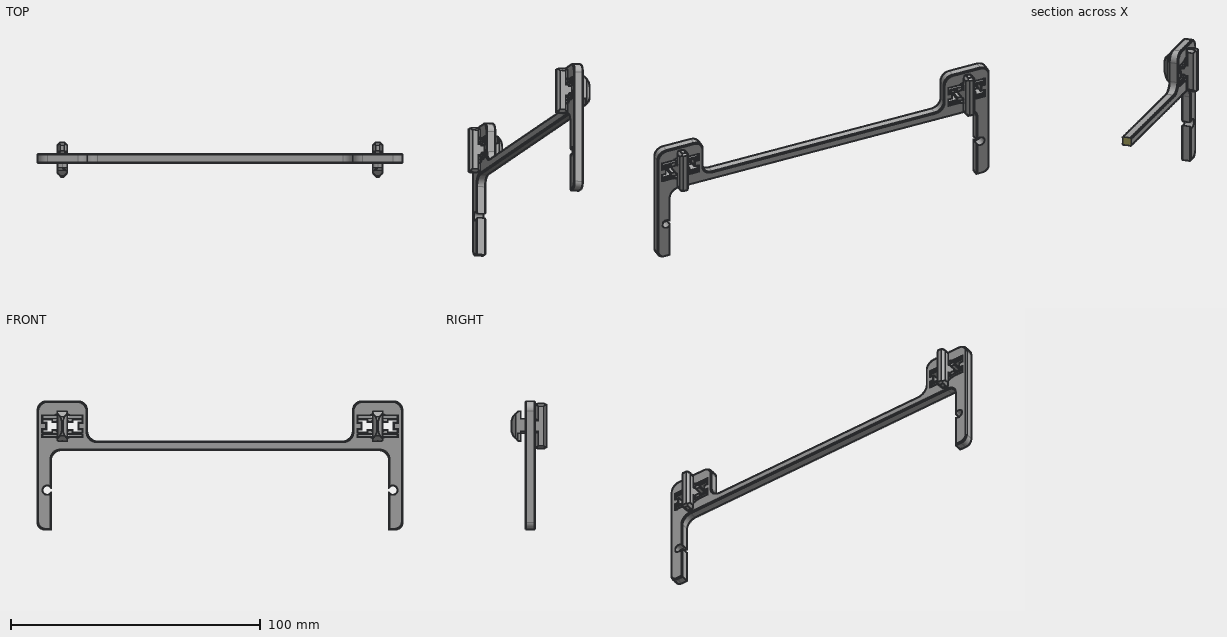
import cadquery as cq


LENGTH = 146.4
HEIGHT = 51.5
PLATE = 4.0
TAB = 20.0
LEG = 5.5
RAIL_TOP = 35.5
RAIL_BOTTOM = 31.8
TAB_RADIUS = 4.0
INNER_RADIUS = 4.0
FOOT_RADIUS = 3.0
EDGE_CHAMFER = 0.5

NOTCH_DIAMETER = 3.7
NOTCH_INSET = 4.0
NOTCH_Z = 15.8

CLIP_X = LENGTH / 2 - TAB / 2
CLIP_Z = HEIGHT - TAB / 2
CUTOUT_LENGTH = 15.8
WINDOW_HEIGHT = 5.0
BEAM = 0.7
SLOT = 0.9
RELIEF_RADIUS = 5.0
CUTOUT_CHAMFER = 0.3
TONGUE_HEIGHT = 3.0
TONGUE_LENGTH = 1.6
PAD_REACH = 4.1
PAD_HEIGHT = 0.95

CLIP_WIDTH = 4.0
NECK_RADIUS = 3.0
HEAD_GAP = 1.8
HEAD_TIP = 5.5
HEAD_SHOULDER = 2.8
HEAD_BREAK = 5.0
HEAD_ROOF = 3.8
HEAD_HALF = 6.0
HEAD_BREAK_HALF = 3.8
RIDGE_HALF = 2.2
RIDGE_WIDTH = 0.6
RAMP_DEPTH = 1.3
BAR_DEPTH = 4.5
BAR_HALF = 9.1
BAR_BEVEL = 1.2
BAR_END_BEVEL = 0.6

SIDES = (-1, 1)


def box(x_size, z_size, x, z):
    """Block through the plate thickness, centred at (x, z)."""
    return cq.Workplane("XY").box(x_size, PLATE, z_size).translate((x, PLATE / 2, z))


def cylinder(radius, x, z):
    """Round block through the plate thickness."""
    return cq.Workplane("XZ", origin=(x, 0, z)).circle(radius).extrude(-PLATE)


def plate_blank():
    """Rail with an upright tab and a leg at each end, chamfered all round."""
    end = LENGTH / 2
    tab_end = end - TAB
    leg_end = end - LEG
    half = [
        (leg_end, RAIL_BOTTOM),
        (leg_end, 0),
        (end, 0),
        (end, HEIGHT),
        (tab_end, HEIGHT),
        (tab_end, RAIL_TOP),
    ]
    outline = half + [(-x, z) for x, z in reversed(half)]
    plate = cq.Workplane("XZ").polyline(outline).close().extrude(-PLATE)

    rounded_corners = [
        (end, 0, FOOT_RADIUS),
        (end, HEIGHT, TAB_RADIUS),
        (tab_end, HEIGHT, TAB_RADIUS),
        (tab_end, RAIL_TOP, TAB_RADIUS),
        (leg_end, RAIL_BOTTOM, INNER_RADIUS),
    ]
    for side in SIDES:
        for x, z, radius in rounded_corners:
            corner = cq.selectors.NearestToPointSelector((side * x, PLATE / 2, z))
            plate = plate.edges("|Y").edges(corner).fillet(radius)
    return plate.faces("<Y or >Y").chamfer(EDGE_CHAMFER)


def tab_opening(x):
    """Opening for the beams and the clip, with a tongue reaching in from each end."""
    opening = box(CUTOUT_LENGTH, WINDOW_HEIGHT + 2 * (BEAM + SLOT), x, CLIP_Z)
    opening = opening.union(cylinder(RELIEF_RADIUS, x, CLIP_Z))
    for side in SIDES:
        tongue_x = x + side * (CUTOUT_LENGTH - TONGUE_LENGTH) / 2
        opening = opening.cut(box(TONGUE_LENGTH, TONGUE_HEIGHT, tongue_x, CLIP_Z))
    return opening


def opening_rims(x):
    """Selector for the edges around one tab opening."""
    half_length = CUTOUT_LENGTH / 2 + CUTOUT_CHAMFER
    half_height = RELIEF_RADIUS + CUTOUT_CHAMFER
    return cq.selectors.BoxSelector(
        (x - half_length, -PLATE, CLIP_Z - half_height),
        (x + half_length, 2 * PLATE, CLIP_Z + half_height),
    )


def spring_beams(x):
    """Two padded beams across the opening, bowed outward around the neck of the clip."""
    length = CUTOUT_LENGTH + 2 * CUTOUT_CHAMFER
    beams = box(length, WINDOW_HEIGHT + 2 * BEAM, x, CLIP_Z)
    beams = beams.union(cylinder(NECK_RADIUS + BEAM, x, CLIP_Z))
    beams = beams.cut(box(length, WINDOW_HEIGHT, x, CLIP_Z))
    for level in SIDES:
        pad_z = CLIP_Z + level * (WINDOW_HEIGHT - PAD_HEIGHT) / 2
        beams = beams.union(box(2 * PAD_REACH, PAD_HEIGHT, x, pad_z))
    return beams.cut(cylinder(NECK_RADIUS, x, CLIP_Z))


def make_frame():
    """Plate with notched legs and sprung tabs."""
    frame = plate_blank()
    for side in SIDES:
        notch_x = side * (LENGTH / 2 - NOTCH_INSET)
        frame = frame.cut(cylinder(NOTCH_DIAMETER / 2, notch_x, NOTCH_Z))
        clip_x = side * CLIP_X
        frame = frame.cut(tab_opening(clip_x))
        frame = frame.faces("<Y or >Y").edges(opening_rims(clip_x)).chamfer(CUTOUT_CHAMFER)
        frame = frame.union(spring_beams(clip_x))
    return frame


def clip_neck():
    """Round shaft with two flats; in front of the plate two opposite corners are square."""
    shaft_length = HEAD_GAP + PLATE + BAR_BEVEL
    start = cq.Workplane("XZ", origin=(0, -HEAD_GAP, 0))
    flats = start.rect(CLIP_WIDTH, 2 * NECK_RADIUS).extrude(-shaft_length)
    shaft = start.circle(NECK_RADIUS).extrude(-shaft_length).intersect(flats)
    for side in SIDES:
        corner = start.center(-side * CLIP_WIDTH / 4, side * NECK_RADIUS / 2)
        shaft = shaft.union(corner.rect(CLIP_WIDTH / 2, NECK_RADIUS).extrude(-HEAD_GAP))
    return shaft


def clip_head():
    """Hipped-roof head in front of the plate: a side outline cut by a roof outline."""
    upper_half = [
        (-HEAD_GAP, HEAD_HALF),
        (-HEAD_SHOULDER, HEAD_HALF),
        (-HEAD_BREAK, HEAD_BREAK_HALF),
        (-HEAD_TIP, RIDGE_HALF),
    ]
    side_outline = upper_half + [(y, -z) for y, z in reversed(upper_half)]
    sides = cq.Workplane("YZ").polyline(side_outline).close().extrude(CLIP_WIDTH / 2, both=True)

    right_half = [
        (CLIP_WIDTH / 2, -HEAD_GAP),
        (CLIP_WIDTH / 2, -HEAD_ROOF),
        (RIDGE_WIDTH / 2, -HEAD_TIP),
    ]
    roof_outline = right_half + [(-x, y) for x, y in reversed(right_half)]
    roof = cq.Workplane("XY").polyline(roof_outline).close().extrude(HEAD_HALF, both=True)

    head = sides.intersect(roof)
    edge_x = CLIP_WIDTH / 2
    for side in SIDES:
        ramp_outline = [
            (side * edge_x, -HEAD_GAP),
            (side * edge_x, -HEAD_GAP - RAMP_DEPTH),
            (0, -HEAD_GAP),
        ]
        ramp = cq.Workplane("XY", origin=(0, 0, side * NECK_RADIUS)).polyline(ramp_outline).close()
        head = head.cut(ramp.extrude(side * HEAD_HALF))
    return head


def clip_bar():
    """Bar behind the plate, bevelled along every edge."""
    half_width = CLIP_WIDTH / 2
    back = PLATE + BAR_DEPTH
    cross_section = [
        (half_width - BAR_BEVEL, PLATE),
        (half_width, PLATE + BAR_BEVEL),
        (half_width, back - BAR_BEVEL),
        (half_width - BAR_BEVEL, back),
    ]
    cross_section += [(-x, y) for x, y in reversed(cross_section)]
    bar = cq.Workplane("XY").polyline(cross_section).close().extrude(BAR_HALF, both=True)

    end_outline = [
        (PLATE, BAR_HALF - BAR_END_BEVEL),
        (PLATE + BAR_BEVEL, BAR_HALF),
        (back - BAR_BEVEL, BAR_HALF),
        (back, BAR_HALF - BAR_END_BEVEL),
    ]
    end_outline += [(y, -z) for y, z in reversed(end_outline)]
    ends = cq.Workplane("YZ").polyline(end_outline).close().extrude(half_width, both=True)

    corner_block = cq.Workplane("XZ").rect(CLIP_WIDTH, 2 * BAR_HALF).extrude(-back)
    corner_block = corner_block.edges("|Y").chamfer(BAR_BEVEL)
    return bar.intersect(ends).intersect(corner_block)


def make_clip(side):
    """One clip; the clip at the +X end is the mirror image of the other."""
    clip = clip_neck().union(clip_head()).union(clip_bar())
    if side > 0:
        clip = clip.mirror("YZ")
    return clip.translate((side * CLIP_X, 0, CLIP_Z))


frame = make_frame()
clips = [make_clip(side) for side in SIDES]
result = cq.Compound.makeCompound([frame.val(), *[clip.val() for clip in clips]])